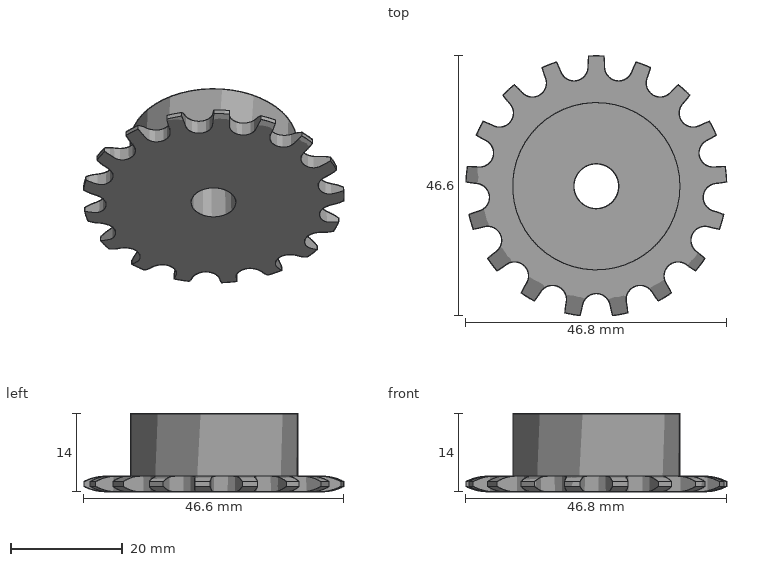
import cadquery as cq
import math

TOOTH_COUNT = 17
CHAIN_PITCH = 8.0
ROLLER_DIAMETER = 5.0
TIP_DIAMETER = 46.8
FLANK_RADIUS = 18.5

PLATE_THICKNESS = 2.8
BEVEL_START_DIAMETER = 39.0
TIP_THICKNESS = 0.85

HUB_DIAMETER = 30.0
BORE_DIAMETER = 8.0
TOTAL_HEIGHT = 14.0

CUT_MARGIN = 1.0

HALF_TOOTH_ANGLE = 180.0 / TOOTH_COUNT
PITCH_RADIUS = CHAIN_PITCH / 2 / math.sin(math.radians(HALF_TOOTH_ANGLE))
SEAT_RADIUS = ROLLER_DIAMETER / 2
TIP_RADIUS = TIP_DIAMETER / 2
BEVEL_START_RADIUS = BEVEL_START_DIAMETER / 2


def toothed_blank():
    """Round plate whose faces curve smoothly down to a narrow rim."""
    bevel_run = TIP_RADIUS - BEVEL_START_RADIUS
    bevel_drop = (PLATE_THICKNESS - TIP_THICKNESS) / 2
    rim_bottom = bevel_drop
    rim_top = PLATE_THICKNESS - bevel_drop

    bevel_radius = (bevel_run**2 + bevel_drop**2) / (2 * bevel_drop)
    half_sweep = math.asin(bevel_run / bevel_radius) / 2
    middle_radius = BEVEL_START_RADIUS + bevel_radius * math.sin(half_sweep)
    middle_drop = bevel_radius * (1 - math.cos(half_sweep))

    return (
        cq.Workplane("XZ")
        .lineTo(BEVEL_START_RADIUS, 0)
        .threePointArc((middle_radius, middle_drop), (TIP_RADIUS, rim_bottom))
        .lineTo(TIP_RADIUS, rim_top)
        .threePointArc(
            (middle_radius, PLATE_THICKNESS - middle_drop),
            (BEVEL_START_RADIUS, PLATE_THICKNESS),
        )
        .lineTo(0, PLATE_THICKNESS)
        .close()
        .revolve(360, (0, 0, 0), (0, 1, 0))
    )


def tooth_gap():
    """Cutter for one gap, centred on +X: a roller seat opening into two convex flanks."""
    seat_angle = math.radians(HALF_TOOTH_ANGLE)
    joint_x = PITCH_RADIUS - SEAT_RADIUS * math.sin(seat_angle)
    joint_y = SEAT_RADIUS * math.cos(seat_angle)

    reach = SEAT_RADIUS + FLANK_RADIUS
    centre_x = PITCH_RADIUS - reach * math.sin(seat_angle)
    centre_y = reach * math.cos(seat_angle)

    def flank_point(x):
        return x, centre_y - math.sqrt(FLANK_RADIUS**2 - (x - centre_x) ** 2)

    outer_x, outer_y = flank_point(TIP_RADIUS + CUT_MARGIN)
    middle_x, middle_y = flank_point((joint_x + outer_x) / 2)

    return (
        cq.Workplane("XY")
        .workplane(offset=-CUT_MARGIN)
        .moveTo(outer_x, -outer_y)
        .threePointArc((middle_x, -middle_y), (joint_x, -joint_y))
        .threePointArc((PITCH_RADIUS - SEAT_RADIUS, 0), (joint_x, joint_y))
        .threePointArc((middle_x, middle_y), (outer_x, outer_y))
        .close()
        .extrude(PLATE_THICKNESS + 2 * CUT_MARGIN)
    )


def cut_teeth(blank):
    """Cut the gaps so that one tooth is centred on +Y."""
    first_gap_angle = 90 + HALF_TOOTH_ANGLE
    gap = tooth_gap()
    for index in range(TOOTH_COUNT):
        angle = first_gap_angle + index * 360 / TOOTH_COUNT
        blank = blank.cut(gap.rotate((0, 0, 0), (0, 0, 1), angle))
    return blank


def add_hub(plate):
    """Round hub on the upper face of the plate."""
    hub = cq.Workplane("XY").circle(HUB_DIAMETER / 2).extrude(TOTAL_HEIGHT)
    return plate.union(hub)


def cut_bore(body):
    """Through bore along the axis."""
    bore = cq.Workplane("XY").circle(BORE_DIAMETER / 2).extrude(TOTAL_HEIGHT)
    return body.cut(bore)


result = cut_bore(add_hub(cut_teeth(toothed_blank())))